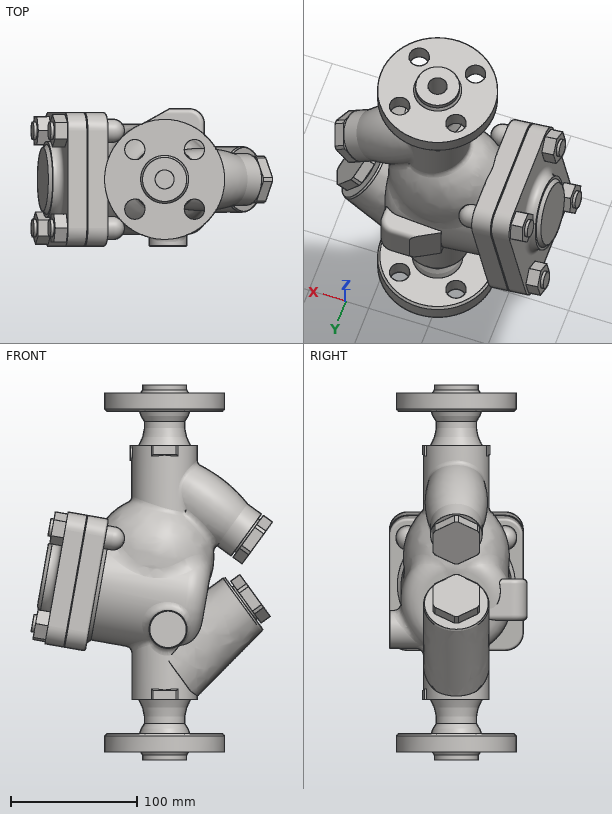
import cadquery as cq
import math


BODY_END_Z = 100.5
PIPE_RADIUS = 26.0
FLANGE_DIAMETER = 95.0
FLANGE_INNER_Z = 127.5
FLANGE_OUTER_Z = 142.0
END_Z = 148.5
FLANGE_CHAMFER = 1.8
RAISED_FACE_RADIUS = 34.9 / 2
RAISED_ROOT_RADIUS = 19.0
RAISED_ROOT_HEIGHT = 2.5
WELD_RADIUS = 20.5
WELD_TOP_Z = 107.0
STUB_RADIUS = 16.0
STUB_START_Z = 114.0
STUB_END_Z = 119.5
HUB_LIP_RADIUS = 18.5
HUB_LIP_Z = 123.5
HUB_RADIUS = 20.0
BORE_DIAMETER = 15.0
BOLT_HOLE_DIAMETER = 16.0
BOLT_CIRCLE_DIAMETER = 66.7

PAD_HALF_WIDTH = 10.5
PAD_HEIGHT = 8.5
PAD_FACE_Y = 26.7
PAD_CHAMFER = 1.5
MARK_DIAMETER = 12.0
MARK_Z = 94.5
MARK_FACE_X = 27.2

COVER_TILT = 10.0
COVER_AXIS_OFFSET = -19.0
BODY_FLANGE_BACK = 51.0
JOINT_HEIGHT = 68.0
COVER_FRONT = 83.5
COVER_WIDTH = 106.0
STUD_PITCH = 77.0
CORNER_RADIUS = (COVER_WIDTH - STUD_PITCH) / 2
GASKET_THICKNESS = 0.8
GASKET_INSET = 0.6
BACK_EDGE_FILLET = 2.0
NUT_ACROSS_FLATS = 22.2
NUT_HEIGHT = 10.0
STUD_DIAMETER = 14.0
STUD_TIP = 96.0
CAP_RADIUS = 30.0
CAP_RIM_RADIUS = 27.8
CAP_FACE_RADIUS = 50.5 / 2
CAP_ROOT_FILLET = 6.0
CAP_SHOULDER = 91.5
CAP_END = 94.5
STUD_BOSS_RADIUS = 9.2
STUD_BOSS_LENGTH = 6.0

CHAMBER_RADIUS = 87.5 / 2
CHAMBER_END = -36.0
CHAMBER_END_FILLET = 16.0
FLARE_LENGTH = 3.5
FLARE_GROWTH = 3.0
FLARE_OVERLAP = 0.5
BARREL_OVERLAP = 7.0
DOME_CENTER = (-9.0, 0.0, 12.0)
DOME_RADIUS = 48.0
DOME_DEPTH_RADIUS = 42.0
SIDE_BOSS_X = 2.7
SIDE_BOSS_Z = -45.0
SIDE_BOSS_RADIUS = 15.0
SIDE_BOSS_LENGTH = 53.0
SIDE_BOSS_CHAMFER = 0.6
PASSAGE_FACE_Y = 56.0
PASSAGE_LOW_Z = -38.0
PASSAGE_HIGH_Z = -5.0
PASSAGE_START_X = -18.0
PASSAGE_RISE_X = 4.0
PASSAGE_END_X = 31.5
PASSAGE_CORNER = 12.0
PASSAGE_FILLET = 4.0

DOME_BLEND = 16.0
PIPE_BLEND = 5.0
SIDE_BOSS_BLEND = 6.0
NECK_BLEND = 4.0

NECK_ANGLE = 36.0
UPPER_NECK_END = (64.6, 0.0, 29.7)
UPPER_RIM_RADIUS = 41.0 / 2
UPPER_RIM_LENGTH = 13.5
UPPER_BULGE_RADIUS = 24.5
UPPER_BULGE_SETBACK = 38.0
UPPER_ROOT_RADIUS = 22.0
UPPER_ROOT_SETBACK = 68.0
LOWER_NECK_END = (62.8, 0.0, -24.5)
LOWER_NECK_RADIUS = 26.0
LOWER_FACE_RADIUS = 50.5 / 2
LOWER_RIM_LENGTH = 1.7
LOWER_ROOT_SETBACK = 75.0
LOWER_ROOT_GROWTH = 12.0
PLUG_COLLAR_DIAMETER = 32.0
PLUG_GAP = 1.8
PLUG_ACROSS_FLATS = 37.0
PLUG_CORNER_DIAMETER = 41.0
PLUG_HEX_HEIGHT = 9.0


SAME_EDGE_TOLERANCE = 1e-3
FUSE_TOLERANCE = 1e-3


def axis_direction(angle):
    """Unit vector in the XZ plane, turned up from +X by the angle in degrees."""
    turn = math.radians(angle)
    return cq.Vector(math.cos(turn), 0, math.sin(turn))


def face_plane(origin, angle):
    """Plane facing along the tilted axis, with local X perpendicular to the axis in the XZ plane."""
    return cq.Plane(origin=origin, xDir=axis_direction(angle - 90), normal=axis_direction(angle))


def profile(origin, angle):
    """Workplane for half profiles: local X is the radius, local Y runs along the tilted axis."""
    normal = axis_direction(angle - 90)
    return cq.Workplane(cq.Plane(origin=origin, xDir=(0, 1, 0), normal=normal))


def revolve_profile(half_profile):
    return half_profile.close().revolve(360, (0, 0, 0), (0, 1, 0))


def hexagon_diameter(across_flats):
    """Diameter over the corners of a hexagon."""
    return across_flats / math.cos(math.radians(30))


COVER_ANGLE = 180 - COVER_TILT
COVER_ORIGIN = axis_direction(COVER_ANGLE - 90) * COVER_AXIS_OFFSET


def on_cover(height):
    """Workplane square to the cover axis: local X runs up the cover face, local Y along Y."""
    return cq.Workplane(face_plane(COVER_ORIGIN, COVER_ANGLE)).workplane(offset=height)


def blend(base, part, radius):
    """Join a part to a base and round the new edges formed where they meet."""
    joined = base.union(part).val()
    existing_edges = base.edges().vals() + part.edges().vals()
    seams = []
    for edge in joined.Edges():
        middle = cq.Vertex.makeVertex(*edge.positionAt(0.5).toTuple())
        if all(existing.distance(middle) > SAME_EDGE_TOLERANCE for existing in existing_edges):
            seams.append(edge)
    return cq.Workplane(obj=joined.fillet(radius, seams))


def make_pipe_end():
    end = (
        cq.Workplane("XZ")
        .moveTo(0, BODY_END_Z)
        .lineTo(WELD_RADIUS, BODY_END_Z)
        .lineTo(RAISED_FACE_RADIUS, WELD_TOP_Z)
        .lineTo(STUB_RADIUS, STUB_START_Z)
        .lineTo(STUB_RADIUS, STUB_END_Z)
        .lineTo(HUB_LIP_RADIUS, HUB_LIP_Z)
        .lineTo(HUB_RADIUS, FLANGE_INNER_Z)
        .lineTo(FLANGE_DIAMETER / 2 - FLANGE_CHAMFER, FLANGE_INNER_Z)
        .lineTo(FLANGE_DIAMETER / 2, FLANGE_INNER_Z + FLANGE_CHAMFER)
        .lineTo(FLANGE_DIAMETER / 2, FLANGE_OUTER_Z)
        .lineTo(RAISED_ROOT_RADIUS, FLANGE_OUTER_Z)
        .lineTo(RAISED_FACE_RADIUS, FLANGE_OUTER_Z + RAISED_ROOT_HEIGHT)
        .lineTo(RAISED_FACE_RADIUS, END_Z)
        .lineTo(0, END_Z)
        .close()
        .revolve(360, (0, 0, 0), (0, 1, 0))
    )
    bolt_holes = (
        cq.Workplane("XY", origin=(0, 0, FLANGE_INNER_Z))
        .polarArray(BOLT_CIRCLE_DIAMETER / 2, 45, 360, 4)
        .circle(BOLT_HOLE_DIAMETER / 2)
        .extrude(FLANGE_OUTER_Z - FLANGE_INNER_Z)
    )
    bore_length = END_Z - BODY_END_Z
    bore = cq.Workplane("XY", origin=(0, 0, BODY_END_Z)).circle(BORE_DIAMETER / 2).extrude(bore_length)
    return end.cut(bolt_holes).cut(bore)


def make_pipe_pad(side, end):
    """Flat pad on the +Y or -Y side of the pipe at its upper (+1) or lower (-1) end."""
    pad = (
        cq.Workplane("XY")
        .box(2 * PAD_HALF_WIDTH, PAD_FACE_Y, PAD_HEIGHT)
        .faces(">Y")
        .edges("|Z or <Z")
        .chamfer(PAD_CHAMFER)
        .translate((0, PAD_FACE_Y / 2, BODY_END_Z - PAD_HEIGHT / 2))
    )
    if side < 0:
        pad = pad.mirror("XZ")
    if end < 0:
        pad = pad.mirror("XY")
    return pad


def make_pipe():
    return cq.Workplane("XY", origin=(0, 0, -BODY_END_Z)).circle(PIPE_RADIUS).extrude(2 * BODY_END_Z)


def make_pipe_fittings():
    """Flanged ends, flat pads and the round cast mark on the pipe."""
    upper_end = make_pipe_end()
    mark = cq.Workplane("YZ", origin=(0, 0, MARK_Z)).circle(MARK_DIAMETER / 2).extrude(-MARK_FACE_X)
    fittings = [upper_end, upper_end.mirror("XY"), mark]
    for side, end in ((1, 1), (-1, 1), (-1, -1)):
        fittings.append(make_pipe_pad(side, end))
    return fittings


def make_plate(start, end, inset=0.0):
    """Square plate with rounded corners between two heights on the cover axis."""
    width = COVER_WIDTH - 2 * inset
    height = end - start
    blank = on_cover(start).rect(width, width).extrude(height)
    corner_lines = cq.selectors.ParallelDirSelector(axis_direction(COVER_ANGLE))
    return blank.edges(corner_lines).fillet(CORNER_RADIUS - inset)


def make_cap():
    cap = (
        profile(COVER_ORIGIN, COVER_ANGLE)
        .moveTo(0, COVER_FRONT)
        .lineTo(CAP_RADIUS + CAP_ROOT_FILLET, COVER_FRONT)
        .radiusArc((CAP_RADIUS, COVER_FRONT + CAP_ROOT_FILLET), CAP_ROOT_FILLET)
        .lineTo(CAP_RADIUS, CAP_SHOULDER)
        .lineTo(CAP_RIM_RADIUS, CAP_SHOULDER)
        .lineTo(CAP_FACE_RADIUS, CAP_END)
        .lineTo(0, CAP_END)
    )
    return revolve_profile(cap)


def make_nut(up, across):
    """Hexagon nut with a stud end; nuts on one diagonal are turned by 90 degrees."""
    turn = 90 if up == across else 0
    center = (up * STUD_PITCH / 2, across * STUD_PITCH / 2)
    nut = (
        on_cover(COVER_FRONT)
        .center(*center)
        .transformed(rotate=(0, 0, turn))
        .polygon(6, hexagon_diameter(NUT_ACROSS_FLATS))
        .extrude(NUT_HEIGHT)
    )
    stud = on_cover(COVER_FRONT).center(*center).circle(STUD_DIAMETER / 2).extrude(STUD_TIP - COVER_FRONT)
    return nut.union(stud)


def make_stud_boss(across):
    """Round-ended boss behind the upper corner of the body flange."""
    boss_end = on_cover(BODY_FLANGE_BACK - STUD_BOSS_LENGTH).center(STUD_PITCH / 2, across * STUD_PITCH / 2)
    boss = boss_end.circle(STUD_BOSS_RADIUS).extrude(STUD_BOSS_LENGTH)
    return boss.union(boss_end.sphere(STUD_BOSS_RADIUS))


def make_cover():
    half_gasket = GASKET_THICKNESS / 2
    back_face = cq.selectors.DirectionMinMaxSelector(axis_direction(COVER_ANGLE), False)
    body_flange = make_plate(BODY_FLANGE_BACK, JOINT_HEIGHT - half_gasket)
    body_flange = body_flange.faces(back_face).edges().fillet(BACK_EDGE_FILLET)
    gasket = make_plate(JOINT_HEIGHT - half_gasket, JOINT_HEIGHT + half_gasket, GASKET_INSET)
    cover_plate = make_plate(JOINT_HEIGHT + half_gasket, COVER_FRONT)
    cover = body_flange.union(make_barrel_flare()).union(gasket).union(cover_plate).union(make_cap())
    for across in (1, -1):
        cover = cover.union(make_stud_boss(across))
        for up in (1, -1):
            cover = cover.union(make_nut(up, across))
    return cover


def make_chamber_barrel():
    """Barrel on the cover axis, rounded at the far end and reaching into the body flange."""
    end_face = cq.selectors.DirectionMinMaxSelector(axis_direction(COVER_ANGLE), False)
    length = BODY_FLANGE_BACK + BARREL_OVERLAP - CHAMBER_END
    barrel = on_cover(CHAMBER_END).circle(CHAMBER_RADIUS).extrude(length)
    return barrel.faces(end_face).edges().fillet(CHAMBER_END_FILLET)


def make_barrel_flare():
    """Conical root that widens the barrel where it meets the body flange."""
    flare = (
        profile(COVER_ORIGIN, COVER_ANGLE)
        .moveTo(0, BODY_FLANGE_BACK - FLARE_LENGTH)
        .lineTo(CHAMBER_RADIUS - FLARE_OVERLAP, BODY_FLANGE_BACK - FLARE_LENGTH)
        .lineTo(CHAMBER_RADIUS + FLARE_GROWTH, BODY_FLANGE_BACK)
        .lineTo(0, BODY_FLANGE_BACK)
    )
    return revolve_profile(flare)


def make_dome():
    """Sphere flattened along Y that bulges above the barrel."""
    flattening = DOME_DEPTH_RADIUS / DOME_RADIUS
    flatten = cq.Matrix([[1, 0, 0, 0], [0, flattening, 0, 0], [0, 0, 1, 0], [0, 0, 0, 1]])
    ball = cq.Workplane("XY").sphere(DOME_RADIUS).rotate((0, 0, 0), (0, 0, 1), 180)
    return cq.Workplane(obj=ball.val().transformGeometry(flatten)).translate(DOME_CENTER)


def make_side_boss():
    """Round boss on the -Y side."""
    boss = (
        cq.Workplane("XZ", origin=(SIDE_BOSS_X, 0, SIDE_BOSS_Z))
        .circle(SIDE_BOSS_RADIUS)
        .extrude(SIDE_BOSS_LENGTH)
    )
    return boss.faces("<Y").edges().chamfer(SIDE_BOSS_CHAMFER)


def make_passage():
    """Rounded passage wall on the +Y side, rising out of the barrel."""
    return (
        cq.Workplane("XY", origin=(0, 0, PASSAGE_LOW_Z))
        .moveTo(PASSAGE_START_X, 0)
        .lineTo(PASSAGE_START_X, CHAMBER_RADIUS)
        .lineTo(PASSAGE_RISE_X, PASSAGE_FACE_Y)
        .lineTo(PASSAGE_END_X - PASSAGE_CORNER, PASSAGE_FACE_Y)
        .radiusArc((PASSAGE_END_X, PASSAGE_FACE_Y - PASSAGE_CORNER), PASSAGE_CORNER)
        .lineTo(PASSAGE_END_X, 0)
        .close()
        .extrude(PASSAGE_HIGH_Z - PASSAGE_LOW_Z)
        .faces("<Z or >Z")
        .edges(">Y")
        .fillet(PASSAGE_FILLET)
    )


def make_plug(neck_end, angle):
    """Hexagon plug standing off the end face of a neck on a round collar."""
    face = cq.Workplane(face_plane(neck_end, angle))
    collar = face.circle(PLUG_COLLAR_DIAMETER / 2).extrude(PLUG_GAP)
    hexagon_base = face.workplane(offset=PLUG_GAP)
    hexagon = hexagon_base.polygon(6, hexagon_diameter(PLUG_ACROSS_FLATS)).extrude(PLUG_HEX_HEIGHT)
    corner_limit = hexagon_base.circle(PLUG_CORNER_DIAMETER / 2).extrude(PLUG_HEX_HEIGHT)
    return collar.union(hexagon.intersect(corner_limit))


def make_upper_neck():
    """Neck bulging between the pipe and its round rim."""
    neck = (
        profile(UPPER_NECK_END, -NECK_ANGLE)
        .lineTo(UPPER_RIM_RADIUS, 0)
        .lineTo(UPPER_RIM_RADIUS, -UPPER_RIM_LENGTH)
        .threePointArc((UPPER_BULGE_RADIUS, -UPPER_BULGE_SETBACK), (UPPER_ROOT_RADIUS, -UPPER_ROOT_SETBACK))
        .lineTo(0, -UPPER_ROOT_SETBACK)
    )
    return revolve_profile(neck).union(make_plug(UPPER_NECK_END, -NECK_ANGLE))


def make_lower_neck():
    """Neck of constant depth along Y that widens downward toward the pipe."""
    round_rim = (
        cq.Workplane(face_plane(LOWER_NECK_END, NECK_ANGLE))
        .circle(LOWER_FACE_RADIUS)
        .workplane(offset=-LOWER_RIM_LENGTH)
        .circle(LOWER_NECK_RADIUS)
        .loft(ruled=True)
    )
    shift = LOWER_ROOT_GROWTH / 2
    neck = (
        cq.Workplane(face_plane(LOWER_NECK_END, NECK_ANGLE))
        .workplane(offset=-LOWER_RIM_LENGTH)
        .ellipse(LOWER_NECK_RADIUS, LOWER_NECK_RADIUS)
        .workplane(offset=LOWER_RIM_LENGTH - LOWER_ROOT_SETBACK)
        .center(shift, 0)
        .ellipse(LOWER_NECK_RADIUS + shift, LOWER_NECK_RADIUS)
        .loft(ruled=True)
    )
    return neck.union(round_rim).union(make_plug(LOWER_NECK_END, NECK_ANGLE))


chamber = blend(make_chamber_barrel(), make_dome(), DOME_BLEND)
pipe_with_neck = blend(make_pipe(), make_upper_neck(), NECK_BLEND)
casting = blend(chamber, pipe_with_neck, PIPE_BLEND)
casting = blend(casting, make_side_boss(), SIDE_BOSS_BLEND)
casting = casting.union(make_lower_neck()).union(make_passage())
result = casting.union(make_cover(), tol=FUSE_TOLERANCE)
for fitting in make_pipe_fittings():
    result = result.union(fitting)